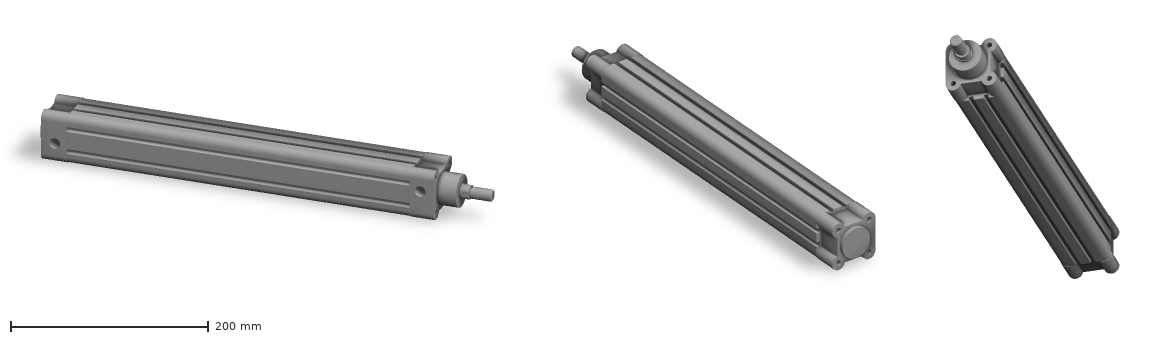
import cadquery as cq
import math

overall_length = 483.0
cap_side = 54.0
barrel_side = 53.0
corner_diameter = 16.0
corner_radius = corner_diameter / 2
lobe_centre = cap_side / 2 - corner_radius

rear_spigot_length = 4.5
rear_cap_length = 27.5
barrel_length = 371.0
front_cap_length = 26.0
front_collar_length = 20.5
shoulder_length = 3.0
wrench_length = 7.2
neck_length = 2.0

rear_cap_start = rear_spigot_length
barrel_start = rear_cap_start + rear_cap_length
front_cap_start = barrel_start + barrel_length
front_cap_end = front_cap_start + front_cap_length
collar_end = front_cap_end + front_collar_length
wrench_start = collar_end + shoulder_length
neck_start = wrench_start + wrench_length
thread_start = neck_start + neck_length

spigot_radius = 17.5
recess_floor = 21.0
screw_hole_radius = 3.0
screw_hole_depth = 9.5
port_radius = 6.0
port_depth = 9.5
rear_port_x = 19.5
front_port_x = 414.5
port_offset = 5.5

groove_width = 5.5
groove_depth = 4.0
groove_spacing = 16.0
port_side_groove_spacing = 24.5
port_side_groove_depth = 3.5
port_side_groove_floor = 2.5

shoulder_diameter = 16.0
wrench_diameter = 15.0
flats_distance = 13.5
neck_radius = 5.5
thread_radius = 6.5
thread_chamfer = 1.0


def cylinder(start, length, radius):
    """Round bar on the cylinder axis."""
    return cq.Workplane("YZ", origin=(start, 0, 0)).circle(radius).extrude(length)


def cap_section(start):
    """Cap outline: flat on the -Y side, recessed between corner lobes on the other three."""
    half_side = cap_side / 2
    outer = lobe_centre + corner_radius * math.sqrt(0.5)
    root = lobe_centre - math.sqrt(corner_radius**2 - (recess_floor - lobe_centre) ** 2)
    return (
        cq.Workplane("YZ", origin=(start, 0, 0))
        .moveTo(-half_side, -lobe_centre)
        .lineTo(-half_side, lobe_centre)
        .threePointArc((-outer, outer), (-root, recess_floor))
        .lineTo(root, recess_floor)
        .threePointArc((outer, outer), (recess_floor, root))
        .lineTo(recess_floor, -root)
        .threePointArc((outer, -outer), (root, -recess_floor))
        .lineTo(-root, -recess_floor)
        .threePointArc((-outer, -outer), (-half_side, -lobe_centre))
        .close()
    )


def make_cap(start, length, port_x, port_z):
    """End cap with its blind port on the -Y side."""
    cap = cap_section(start).extrude(length)
    port = (
        cq.Workplane("XZ", origin=(port_x, -cap_side / 2, port_z))
        .circle(port_radius)
        .extrude(-port_depth)
    )
    return cap.cut(port)


def screw_holes(face_x, depth):
    """Four blind screw holes, going from an end face along X by the signed depth."""
    return (
        cq.Workplane("YZ", origin=(face_x, 0, 0))
        .rect(2 * lobe_centre, 2 * lobe_centre, forConstruction=True)
        .vertices()
        .circle(screw_hole_radius)
        .extrude(depth)
    )


def make_rear_cap():
    """Rear cap with its centring spigot and screw holes."""
    cap = make_cap(rear_cap_start, rear_cap_length, rear_port_x, -port_offset)
    cap = cap.union(cylinder(0, rear_spigot_length, spigot_radius))
    return cap.cut(screw_holes(rear_cap_start, screw_hole_depth))


def make_front_cap():
    """Front cap with its rod collar and screw holes."""
    cap = make_cap(front_cap_start, front_cap_length, front_port_x, port_offset)
    cap = cap.union(cylinder(front_cap_end, front_collar_length, spigot_radius))
    return cap.cut(screw_holes(front_cap_end, -screw_hole_depth))


def groove_pair(spacing, depth, floor_width):
    """Two lengthwise grooves for the +Z side of the barrel."""
    mouth = barrel_side / 2
    grooves = cq.Workplane("YZ", origin=(barrel_start, 0, 0))
    for centre in (-spacing / 2, spacing / 2):
        grooves = (
            grooves.moveTo(centre - groove_width / 2, mouth)
            .lineTo(centre - floor_width / 2, mouth - depth)
            .lineTo(centre + floor_width / 2, mouth - depth)
            .lineTo(centre + groove_width / 2, mouth)
            .close()
        )
    return grooves.extrude(barrel_length)


def turned(shape, angle):
    """Shape turned about the cylinder axis."""
    return shape.rotate((0, 0, 0), (1, 0, 0), angle)


def make_barrel():
    """Barrel with two grooves along each side, tapered ones on the port side."""
    barrel = (
        cq.Workplane("YZ", origin=(barrel_start, 0, 0))
        .rect(barrel_side, barrel_side)
        .extrude(barrel_length)
        .edges("|X")
        .fillet(barrel_side / 2 - lobe_centre)
    )
    straight_grooves = groove_pair(groove_spacing, groove_depth, groove_width)
    for angle in (-90, 0, 180):
        barrel = barrel.cut(turned(straight_grooves, angle))
    tapered_grooves = groove_pair(
        port_side_groove_spacing, port_side_groove_depth, port_side_groove_floor
    )
    return barrel.cut(turned(tapered_grooves, 90))


def make_rod():
    """Piston rod end: shoulder, section with two wrench flats, neck and chamfered thread."""
    shoulder = cylinder(collar_end, shoulder_length, shoulder_diameter / 2)
    flats_blank = cq.Workplane("XY", origin=(wrench_start + wrench_length / 2, 0, 0)).box(
        wrench_length, flats_distance, wrench_diameter
    )
    wrench_section = cylinder(wrench_start, wrench_length, wrench_diameter / 2).intersect(flats_blank)
    neck = cylinder(neck_start, neck_length, neck_radius)
    thread = (
        cylinder(thread_start, overall_length - thread_start, thread_radius)
        .faces(">X")
        .chamfer(thread_chamfer)
    )
    return shoulder.union(wrench_section).union(neck).union(thread)


rear_cap = make_rear_cap()
barrel = make_barrel()
front_cap = make_front_cap()
rod = make_rod()

result = cq.Compound.makeCompound([rear_cap.val(), barrel.val(), front_cap.val(), rod.val()])